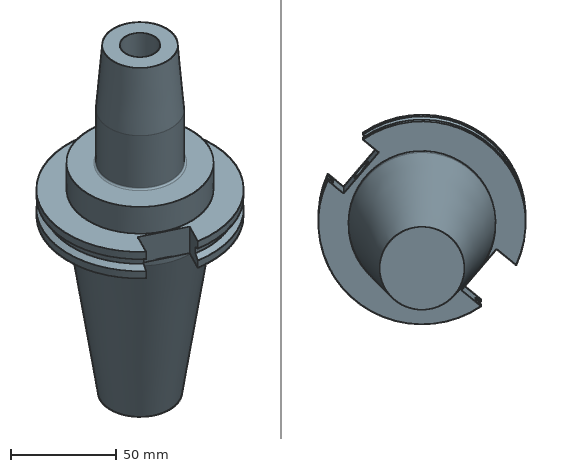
import cadquery as cq
import math


gauge_diameter = 69.85
taper_ratio = 7 / 24
taper_length = 101.6

flange_diameter = 98.425
flange_bottom = 3.175
flange_thickness = 15.875
groove_floor_diameter = 91.9
groove_floor_width = 3.4
groove_wall_angle = 30

slot_width = 25.908
left_slot_floor = 37.7
right_slot_floor = 35.3

side_hole_diameter = 10
side_hole_depth = 5

collar_top = 35
nose_top = 105
nose_diameter = 42
nose_tip_diameter = 36
nose_cone_length = 38
nose_root_fillet = 1
bore_diameter = 19.05
bore_depth = 52

gauge_radius = gauge_diameter / 2
flange_radius = flange_diameter / 2
nose_radius = nose_diameter / 2
taper_end_radius = (gauge_diameter - taper_length * taper_ratio) / 2
flange_top = flange_bottom + flange_thickness
flange_middle = flange_bottom + flange_thickness / 2


def make_body():
    """Turned body: taper, flange blank, collar and nose."""
    profile = (
        cq.Workplane("XZ")
        .moveTo(0, -taper_length)
        .lineTo(taper_end_radius, -taper_length)
        .lineTo(gauge_radius, 0)
        .lineTo(gauge_radius, flange_bottom)
        .lineTo(flange_radius, flange_bottom)
        .lineTo(flange_radius, flange_top)
        .lineTo(gauge_radius, flange_top)
        .lineTo(gauge_radius, collar_top)
        .lineTo(nose_radius + nose_root_fillet, collar_top)
        .radiusArc((nose_radius, collar_top + nose_root_fillet), nose_root_fillet)
        .lineTo(nose_radius, nose_top - nose_cone_length)
        .lineTo(nose_tip_diameter / 2, nose_top)
        .lineTo(0, nose_top)
        .close()
    )
    return profile.revolve(360, (0, 0, 0), (0, 1, 0))


def make_groove():
    """Ring that cuts the flat-bottomed V-groove around the flange."""
    floor_radius = groove_floor_diameter / 2
    floor_half_width = groove_floor_width / 2
    wall_rise = (flange_radius - floor_radius) * math.tan(math.radians(groove_wall_angle))
    mouth_half_width = floor_half_width + wall_rise
    profile = (
        cq.Workplane("XZ")
        .moveTo(floor_radius, flange_middle - floor_half_width)
        .lineTo(flange_radius, flange_middle - mouth_half_width)
        .lineTo(flange_radius, flange_middle + mouth_half_width)
        .lineTo(floor_radius, flange_middle + floor_half_width)
        .close()
    )
    return profile.revolve(360, (0, 0, 0), (0, 1, 0))


def make_slot(side, floor_distance):
    """Drive slot through the flange; side is -1 for -X and +1 for +X."""
    slot_depth = flange_radius - floor_distance
    slot_center = side * (floor_distance + slot_depth / 2)
    return (
        cq.Workplane("XY")
        .box(slot_depth, slot_width, flange_thickness)
        .translate((slot_center, 0, flange_middle))
    )


def make_side_hole():
    """Radial blind hole drilled from the left slot floor toward the axis."""
    return (
        cq.Workplane("YZ", origin=(-left_slot_floor, 0, flange_middle))
        .circle(side_hole_diameter / 2)
        .extrude(side_hole_depth)
    )


def make_bore():
    """Blind tool bore in the tip of the nose."""
    return (
        cq.Workplane("XY", origin=(0, 0, nose_top))
        .circle(bore_diameter / 2)
        .extrude(-bore_depth)
    )


result = (
    make_body()
    .cut(make_groove())
    .cut(make_slot(-1, left_slot_floor))
    .cut(make_slot(1, right_slot_floor))
    .cut(make_side_hole())
    .cut(make_bore())
)